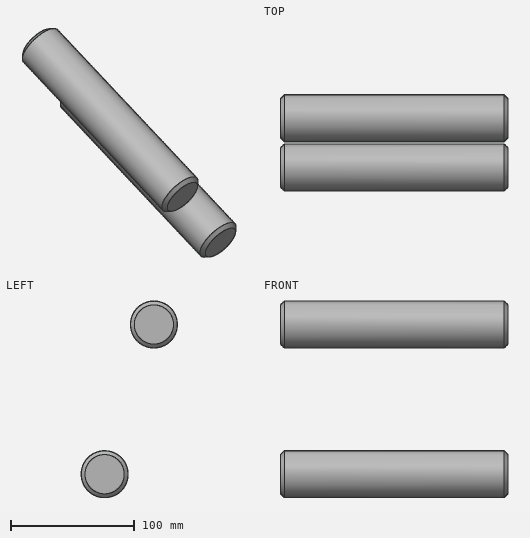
import cadquery as cq

pin_diameter = 38.1
pin_length = 184.15
end_chamfer = 3.175

axis_spacing_y = 39.85
axis_spacing_z = 121.06


def make_pin(axis_y, axis_z):
    """Solid pin along X, centred on X = 0, with both end edges chamfered."""
    return (
        cq.Workplane("YZ", origin=(-pin_length / 2, axis_y, axis_z))
        .circle(pin_diameter / 2)
        .extrude(pin_length)
        .faces("<X or >X")
        .chamfer(end_chamfer)
    )


pins = [
    make_pin(-side * axis_spacing_y / 2, side * axis_spacing_z / 2)
    for side in (1, -1)
]

result = cq.Compound.makeCompound([pin.val() for pin in pins])